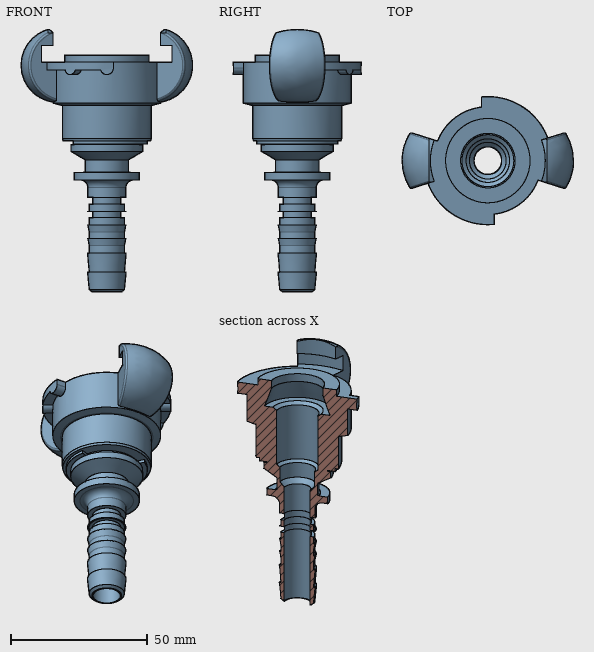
import cadquery as cq
import math

total_height = 96.2
clear_height = 1.1 * total_height
half_span = 63.0 / 2

bore_radius = 10.0 / 2
neck_radius = 10.4 / 2
tail_radius = 13.0 / 2
barb_radius = 14.0 / 2
end_barb_radius = 7.1
tip_radius = 5.5
tip_chamfer_height = 0.9
end_barb_levels = (7.2, 14.1)
barb_levels = (19.6, 24.5)
barb_cone_height = 2.6
rim_thickness = 0.1
lower_groove = (27.2, 29.4)
upper_groove = (32.1, 34.6)

flange_radius = 24.0 / 2
flange_bottom = 41.0
flange_top = 43.8
flange_fillet = 2.8
upper_neck_radius = 16.0 / 2
neck_step_radius = 8.6
neck_step_height = 0.1
head_radius = 26.5 / 2
head_cone_bottom = 48.4
head_bottom = 51.5
head_top = 54.0

ring_radius = 29.8 / 2
ring_seat_radius = 24.0 / 2
ring_bottom = 54.2
ring_gap_start = 110.0
ring_gap_end = 214.0

sleeve_radius = 16.4
sleeve_bottom = 55.3
sleeve_chamfer = 0.3
sleeve_chamfer_height = 0.9
body_radius = 19.8
body_bottom = 68.4
body_chamfer = 2.9
body_chamfer_height = 0.8
body_top = 84.3
seal_radius = 15.5
seal_top = 86.8

mouth_radius = 20.0 / 2
mouth_bottom = 83.7
chamber_radius = 25.5 / 2
chamber_floor = 76.3
seat_radius = 19.0 / 2
passage_radius = 16.0 / 2
passage_top = 75.2
throat_radius = 13.5 / 2
shoulder_heights = (53.9, 52.9)
throat_heights = (47.1, 45.2)

lug_radius = 47.0 / 2
lug_bottom = 81.3
bump_radius = 2.4
bump_center = 82.1
bump_angle = 35.0

claw_arc_radius = 13.7
claw_axis = 12.7
claw_crest_end = 21.6
arc_center = half_span - claw_arc_radius
claw_center = total_height - math.sqrt(claw_arc_radius ** 2 - (claw_crest_end - arc_center) ** 2)
claw_half_width = 1.3
claw_flank_angle = 17.6
claw_edge_fillet = 0.8
claw_root = 17.3
claw_tip_radius = 21.1
slot_radius = 25.5
slot_top = 90.2


def disc(radius, bottom, top):
    return cq.Workplane("XY").workplane(offset=bottom).circle(radius).extrude(top - bottom)


def revolve_profile(points):
    """Revolve an (r, z) outline about the Z axis."""
    return cq.Workplane("XZ").polyline(points).close().revolve(360, (0, 0, 0), (0, 1, 0))


def make_tail():
    points = [(0, 0), (tip_radius, 0), (tail_radius, tip_chamfer_height)]
    for level in end_barb_levels:
        points += [(end_barb_radius, level), (tail_radius, level)]
    for level in barb_levels:
        points += [(tail_radius, level - barb_cone_height), (barb_radius, level), (tail_radius, level)]
    groove_bottom, groove_top = lower_groove
    points += [
        (tail_radius, groove_bottom),
        (neck_radius, groove_bottom),
        (neck_radius, groove_top),
        (barb_radius, groove_top),
        (barb_radius, groove_top + rim_thickness),
        (tail_radius, groove_top + rim_thickness),
    ]
    groove_bottom, groove_top = upper_groove
    points += [
        (tail_radius, groove_bottom),
        (neck_radius, groove_bottom),
        (neck_radius, groove_top),
        (barb_radius, groove_top),
        (barb_radius, flange_bottom),
        (0, flange_bottom),
    ]
    return revolve_profile(points)


def make_flange():
    fillet_start = flange_bottom - flange_fillet
    fillet_center = barb_radius + flange_fillet
    inset = flange_fillet * (1 - math.sqrt(0.5))
    outline = (
        cq.Workplane("XZ")
        .moveTo(0, fillet_start)
        .lineTo(barb_radius, fillet_start)
        .threePointArc((barb_radius + inset, flange_bottom - inset), (fillet_center, flange_bottom))
        .lineTo(flange_radius, flange_bottom)
        .lineTo(flange_radius, flange_top)
        .lineTo(0, flange_top)
        .close()
    )
    return outline.revolve(360, (0, 0, 0), (0, 1, 0))


def make_body():
    return revolve_profile([
        (0, flange_top),
        (neck_step_radius, flange_top),
        (neck_step_radius, flange_top + neck_step_height),
        (upper_neck_radius, flange_top + neck_step_height),
        (upper_neck_radius, head_cone_bottom),
        (head_radius, head_bottom),
        (head_radius, head_top),
        (ring_seat_radius, head_top),
        (ring_seat_radius, sleeve_bottom),
        (sleeve_radius - sleeve_chamfer, sleeve_bottom),
        (sleeve_radius, sleeve_bottom + sleeve_chamfer_height),
        (sleeve_radius, body_bottom),
        (body_radius - body_chamfer, body_bottom),
        (body_radius, body_bottom + body_chamfer_height),
        (body_radius, body_top),
        (seal_radius, body_top),
        (seal_radius, seal_top),
        (0, seal_top),
    ])


def make_retaining_ring():
    reach = 2 * ring_radius
    gap_points = [(0, 0)]
    for angle in (ring_gap_start, (ring_gap_start + ring_gap_end) / 2, ring_gap_end):
        turn = math.radians(angle)
        gap_points.append((reach * math.cos(turn), reach * math.sin(turn)))
    height = sleeve_bottom - ring_bottom
    gap = cq.Workplane("XY").workplane(offset=ring_bottom).polyline(gap_points).close().extrude(height)
    return disc(ring_radius, ring_bottom, sleeve_bottom).cut(gap)


def make_passage():
    return revolve_profile([
        (0, 0),
        (bore_radius, 0),
        (bore_radius, throat_heights[1]),
        (throat_radius, throat_heights[0]),
        (throat_radius, shoulder_heights[1]),
        (passage_radius, shoulder_heights[0]),
        (passage_radius, passage_top),
        (seat_radius, chamber_floor),
        (chamber_radius, chamber_floor),
        (mouth_radius, mouth_bottom),
        (mouth_radius, seal_top),
        (0, seal_top),
    ])


def make_lug():
    """Quarter-turn lug on the -X -Y side with two round bumps under it, one of them at its end."""
    stock = 1.1 * lug_radius
    plate = (
        cq.Workplane("XZ")
        .moveTo(-stock, body_top)
        .lineTo(bump_radius, body_top)
        .lineTo(bump_radius, bump_center)
        .lineTo(0, bump_center)
        .lineTo(0, lug_bottom)
        .lineTo(-stock, lug_bottom)
        .close()
        .extrude(stock)
    )
    bump = cq.Workplane("XZ").center(0, bump_center).circle(bump_radius).extrude(stock)
    end_bump = bump
    middle_bump = bump.rotate((0, 0, 0), (0, 0, 1), -bump_angle)
    return plate.union(end_bump).union(middle_bump).intersect(disc(lug_radius, 0, body_top))


def make_claw_back():
    """Rounded ring on the +X side: an arc in the XZ plane swept about a vertical axis."""
    outline = (
        cq.Workplane("XZ")
        .moveTo(claw_axis, claw_center - claw_arc_radius)
        .lineTo(arc_center, claw_center - claw_arc_radius)
        .threePointArc((half_span, claw_center), (arc_center, claw_center + claw_arc_radius))
        .lineTo(claw_axis, claw_center + claw_arc_radius)
        .close()
    )
    return outline.revolve(360, (claw_axis, 0, 0), (claw_axis, 1, 0))


def make_crest_trim():
    """Space above the straight crest, between the claw root and the end of the rounded back."""
    edge_y = claw_half_width + claw_crest_end * math.tan(math.radians(claw_flank_angle))
    edge_reach = math.hypot(claw_crest_end - claw_axis, edge_y) - (arc_center - claw_axis)
    edge_z = claw_center + math.sqrt(claw_arc_radius ** 2 - edge_reach ** 2)
    return (
        cq.Workplane("YZ")
        .workplane(offset=claw_root)
        .moveTo(-edge_y, edge_z)
        .threePointArc((0, total_height), (edge_y, edge_z))
        .lineTo(edge_y, clear_height)
        .lineTo(-edge_y, clear_height)
        .close()
        .extrude(claw_crest_end - claw_root)
    )


def make_claw():
    """Claw on the +X side: a wedge cut from the rounded back, hooked at its tip."""
    slope = math.tan(math.radians(claw_flank_angle))
    far = 1.1 * half_span
    root_width = claw_half_width + slope * claw_root
    far_width = claw_half_width + slope * far
    wedge = (
        cq.Workplane("XY")
        .polyline([(claw_root, -root_width), (far, -far_width), (far, far_width), (claw_root, root_width)])
        .close()
        .extrude(clear_height)
    )
    claw = make_claw_back().intersect(wedge)
    outer_zone = cq.selectors.BoxSelector((1.02 * claw_root, -far, 0), (far, far, clear_height))
    claw = claw.faces("<Y or >Y").edges(outer_zone).fillet(claw_edge_fillet)
    claw = claw.cut(make_crest_trim())
    claw = claw.cut(disc(claw_tip_radius, body_top, clear_height))
    return claw.cut(disc(slot_radius, body_top, slot_top))


def add_pair(part, feature):
    """Add a feature and its copy half a turn around the axis."""
    return part.union(feature).union(feature.rotate((0, 0, 0), (0, 0, 1), 180))


result = make_tail().union(make_flange()).union(make_body()).union(make_retaining_ring())
result = add_pair(result, make_lug())
result = add_pair(result, make_claw())
result = result.cut(make_passage())